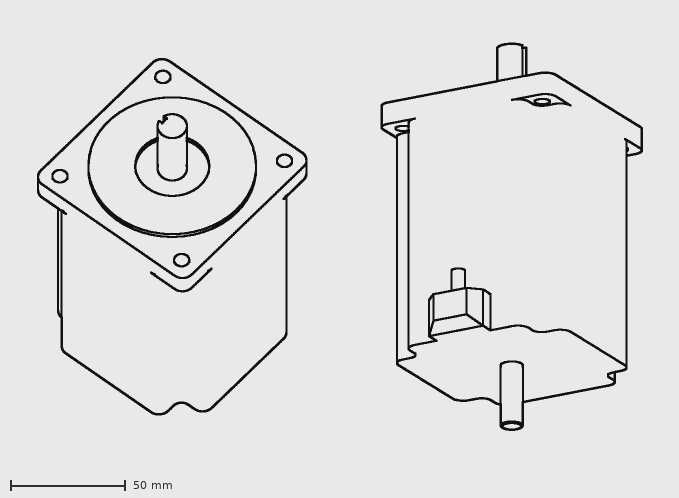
import cadquery as cq

total_height = 175.2
rear_shaft_length = 28.4
body_height = 105.0
flange_thickness = 10.0
pilot_height = 2.1
flange_top = body_height + flange_thickness
pilot_top = flange_top + pilot_height
shaft_top = total_height - rear_shaft_length

width = 86.0
half_width = width / 2
corner_radius = 5.3
groove_radius = 4.5
groove_flat = 3.7
groove_depth = corner_radius + groove_flat + groove_radius

bolt_spacing = 69.4
bolt_hole_diameter = 6.7
pilot_diameter = 73.0
recess_diameter = 32.2
recess_depth = pilot_height

shaft_diameter = 12.8
rear_shaft_diameter = 9.6
rear_shaft_chamfer = 0.5
keyway_width = 3.2
keyway_length = 22.3
keyway_depth = 2.0

outlet_width = 27.0
outlet_reach = 12.0
outlet_height = 16.8
outlet_side_chamfer = 5.3
outlet_bottom_chamfer = 4.5
cable_diameter = 6.0
cable_length = 11.7
cable_edge_distance = 7.4


def corner_groove():
    """Rounded notch along the (-X, -Y) body edge, with rounded lips and a rounded inner corner."""
    lip_start = groove_depth + corner_radius
    inner_start = groove_depth - groove_radius
    return (
        cq.Workplane("XY", origin=(-half_width, -half_width, 0))
        .moveTo(0, lip_start)
        .radiusArc((corner_radius, groove_depth), -corner_radius)
        .lineTo(inner_start, groove_depth)
        .radiusArc((groove_depth, inner_start), groove_radius)
        .lineTo(groove_depth, corner_radius)
        .radiusArc((lip_start, 0), -corner_radius)
        .lineTo(0, 0)
        .close()
        .extrude(body_height)
    )


def make_body():
    body = cq.Workplane("XY").rect(width, width).extrude(body_height)
    groove = corner_groove()
    for quarter in range(4):
        body = body.cut(groove.rotate((0, 0, 0), (0, 0, 1), 90 * quarter))
    return body


def make_flange():
    plate = (
        cq.Workplane("XY", origin=(0, 0, body_height))
        .rect(width, width)
        .extrude(flange_thickness)
        .edges("|Z")
        .fillet(corner_radius)
    )
    pilot = cq.Workplane("XY", origin=(0, 0, flange_top)).circle(pilot_diameter / 2).extrude(pilot_height)
    recess = (
        cq.Workplane("XY", origin=(0, 0, pilot_top))
        .circle(recess_diameter / 2)
        .extrude(-recess_depth)
    )
    bolt_holes = (
        cq.Workplane("XY", origin=(0, 0, body_height))
        .rect(bolt_spacing, bolt_spacing, forConstruction=True)
        .vertices()
        .circle(bolt_hole_diameter / 2)
        .extrude(flange_thickness)
    )
    return plate.union(pilot).cut(recess).cut(bolt_holes)


def make_front_shaft():
    """Output shaft with a keyway on its -X side, open at the shaft end."""
    shaft = (
        cq.Workplane("XY", origin=(0, 0, body_height))
        .circle(shaft_diameter / 2)
        .extrude(shaft_top - body_height)
    )
    keyway = cq.Workplane("XY").box(
        2 * keyway_depth, keyway_width, keyway_length, centered=(True, True, False)
    ).translate((-shaft_diameter / 2, 0, shaft_top - keyway_length))
    return shaft.cut(keyway)


def make_rear_shaft():
    return (
        cq.Workplane("XY")
        .circle(rear_shaft_diameter / 2)
        .extrude(-rear_shaft_length)
        .faces("<Z")
        .chamfer(rear_shaft_chamfer)
    )


def make_cable_outlet():
    outer_y = half_width + outlet_reach
    block = (
        cq.Workplane("XY")
        .box(outlet_width, outlet_reach, outlet_height, centered=(True, False, False))
        .translate((0, half_width, 0))
        .edges("|Z and >Y")
        .chamfer(outlet_side_chamfer)
    )
    bottom_cut = (
        cq.Workplane("YZ")
        .moveTo(outer_y, 0)
        .lineTo(outer_y - outlet_side_chamfer, 0)
        .lineTo(outer_y, outlet_bottom_chamfer)
        .close()
        .extrude(outlet_width / 2, both=True)
    )
    cable = (
        cq.Workplane("XY", origin=(0, outer_y - cable_edge_distance, outlet_height))
        .circle(cable_diameter / 2)
        .extrude(cable_length)
    )
    return block.cut(bottom_cut).union(cable)


result = (
    make_body()
    .union(make_flange())
    .union(make_front_shaft())
    .union(make_rear_shaft())
    .union(make_cable_outlet())
)